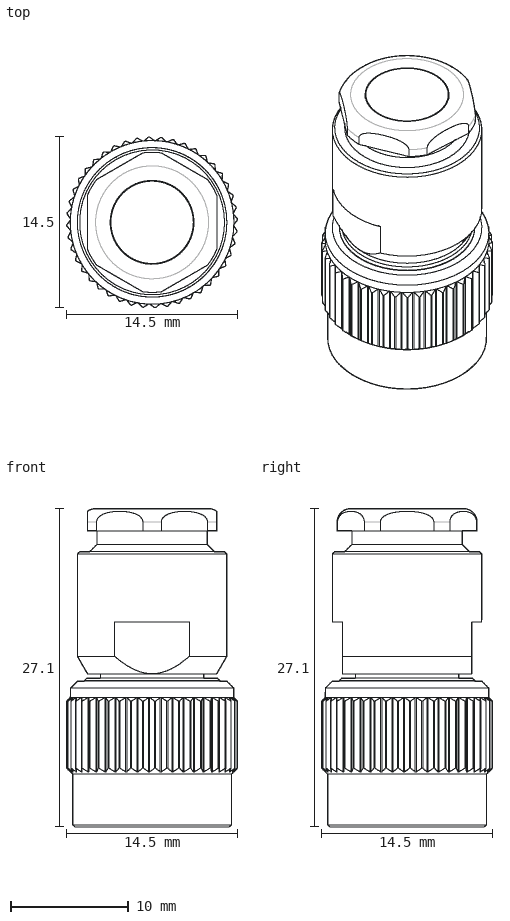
import cadquery as cq
import math

total_height = 27.05
knurl_bottom_z = 4.5
knurl_top_z = 11.0
collar_cone_top_z = 12.4
ring_top_z = 12.65
body_bottom_z = 13.0
body_top_z = 23.4
shoulder_cone_top_z = 24.0
hex_bottom_z = 25.15

barrel_radius = 13.5 / 2
barrel_chamfer = 0.2
collar_radius = 13.9 / 2
collar_top_radius = 12.7 / 2
collar_cone_bottom_z = collar_cone_top_z - (collar_radius - collar_top_radius)
ring_radius = 11.5 / 2
ring_chamfer = 0.2

tooth_count = 44
tooth_pitch = 360 / tooth_count
tooth_phase = tooth_pitch / 4
overall_diameter = 14.5
tooth_tip_width = 0.1
tooth_root_gap = 0.1

neck_radius = 8.8 / 2
body_radius = 12.7 / 2
body_top_chamfer = 0.2
body_cone_height = 1.5
body_cone_angle = 30
body_cone_radius = body_radius - body_cone_height * math.tan(math.radians(body_cone_angle))
flat_spacing = 11.0
flat_top_z = 17.4

stem_radius = 9.4 / 2
shoulder_cone_radius = stem_radius + shoulder_cone_top_z - body_top_z
hex_across_flats = 11.0
hex_corner_radius = 11.9 / 2
hex_fillet = 1.15
groove_outer_radius = 7.12 / 2
groove_inner_radius = 7.0 / 2
groove_depth = 0.5


def polar_point(radius, angle):
    """Point in the XY plane at a radius and an angle in degrees."""
    return (radius * math.cos(math.radians(angle)), radius * math.sin(math.radians(angle)))


def cylinder(radius, bottom_z, top_z):
    return cq.Workplane("XY").workplane(offset=bottom_z).circle(radius).extrude(top_z - bottom_z)


def cone(bottom_radius, top_radius, bottom_z, top_z):
    """Conical frustum about the Z axis."""
    outline = [(0, bottom_z), (bottom_radius, bottom_z), (top_radius, top_z), (0, top_z)]
    return cq.Workplane("XZ").polyline(outline).close().revolve(360, (0, 0), (0, 1))


def make_coupling_nut():
    barrel = cylinder(barrel_radius, 0, knurl_bottom_z).faces("<Z").chamfer(barrel_chamfer)
    collar = cylinder(collar_radius, knurl_top_z, collar_cone_bottom_z)
    collar_cone = cone(collar_radius, collar_top_radius, collar_cone_bottom_z, collar_cone_top_z)
    ring = cylinder(ring_radius, collar_cone_top_z, ring_top_z).faces(">Z").chamfer(ring_chamfer)
    return barrel.union(make_knurl()).union(collar).union(collar_cone).union(ring)


def make_knurl():
    """Toothed band whose tooth ends are bevelled at 45 degrees."""
    tip_half_angle = math.degrees(tooth_tip_width / overall_diameter)
    tip_radius = overall_diameter / 2 / math.cos(math.radians(tooth_phase - tip_half_angle))
    gap_half_angle = math.degrees(tooth_root_gap / 2 / collar_radius)
    root_half_angle = tooth_pitch / 2 - gap_half_angle

    outline = []
    for index in range(tooth_count):
        centre = tooth_phase + index * tooth_pitch
        outline.append(polar_point(collar_radius, centre - root_half_angle))
        outline.append(polar_point(tip_radius, centre - tip_half_angle))
        outline.append(polar_point(tip_radius, centre + tip_half_angle))
        outline.append(polar_point(collar_radius, centre + root_half_angle))
    band_height = knurl_top_z - knurl_bottom_z
    band = cq.Workplane("XY").workplane(offset=knurl_bottom_z).polyline(outline).close().extrude(band_height)

    bevelled_envelope = (
        cq.Workplane("XZ")
        .moveTo(0, knurl_bottom_z)
        .lineTo(barrel_radius, knurl_bottom_z)
        .lineTo(tip_radius, knurl_bottom_z + tip_radius - barrel_radius)
        .lineTo(tip_radius, knurl_top_z - (tip_radius - collar_radius))
        .lineTo(collar_radius, knurl_top_z)
        .lineTo(0, knurl_top_z)
        .close()
        .revolve(360, (0, 0), (0, 1))
    )
    return band.intersect(bevelled_envelope)


def make_body():
    """Cylindrical body with a tapered lower end and two wrench flats."""
    neck = cylinder(neck_radius, ring_top_z, body_bottom_z)
    cone_top_z = body_bottom_z + body_cone_height
    taper = cone(body_cone_radius, body_radius, body_bottom_z, cone_top_z)
    shell = cylinder(body_radius, cone_top_z, body_top_z).faces(">Z").chamfer(body_top_chamfer)
    body = taper.union(shell)

    cutter_depth = body_radius
    for side in (-1, 1):
        flat_cutter = (
            cq.Workplane("XY")
            .workplane(offset=body_bottom_z)
            .center(0, side * (flat_spacing + cutter_depth) / 2)
            .rect(2 * body_radius, cutter_depth)
            .extrude(flat_top_z - body_bottom_z)
        )
        body = body.cut(flat_cutter)
    return neck.union(body)


def make_clamping_nut():
    """Stem on a conical shoulder, with a rounded hexagonal head."""
    shoulder = cone(shoulder_cone_radius, stem_radius, body_top_z, shoulder_cone_top_z)
    stem = cylinder(stem_radius, shoulder_cone_top_z, hex_bottom_z)
    head_blank = cylinder(hex_corner_radius, hex_bottom_z, total_height).faces(">Z").edges().fillet(hex_fillet)
    hexagon = (
        cq.Workplane("XY")
        .workplane(offset=hex_bottom_z)
        .polygon(6, hex_across_flats, circumscribed=True)
        .extrude(total_height - hex_bottom_z)
    )
    groove = (
        cq.Workplane("XY")
        .workplane(offset=total_height - groove_depth)
        .circle(groove_outer_radius)
        .circle(groove_inner_radius)
        .extrude(groove_depth)
    )
    head = head_blank.intersect(hexagon).cut(groove)
    return shoulder.union(stem).union(head)


result = make_coupling_nut().union(make_body()).union(make_clamping_nut())